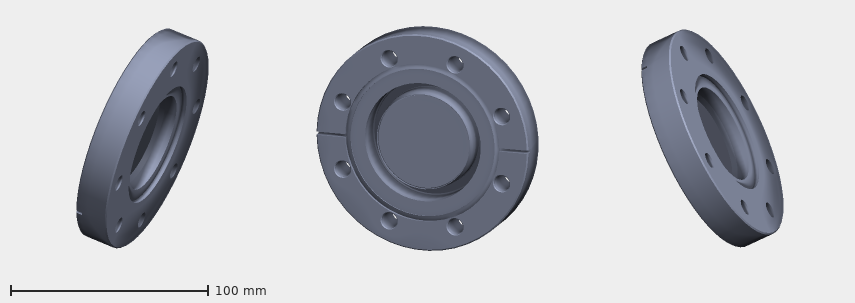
import cadquery as cq
import math


FLANGE_RADIUS = 56.8
FLANGE_THICKNESS = 17.3
RIM_CHAMFER = 0.7
BORE_RADIUS = 31.8

RECESS_RADIUS = 41.2
TIP_RADIUS = 38.6
TIP_DEPTH = 0.7
FLANK_ANGLE = 20.0
SEAT_DEPTH = 1.2
flank_foot_depth = TIP_DEPTH + (RECESS_RADIUS - TIP_RADIUS) * math.tan(math.radians(FLANK_ANGLE))

BOLT_COUNT = 8
BOLT_CIRCLE_RADIUS = 46.1
BOLT_HOLE_DIAMETER = 8.3
BOLT_HOLE_CHAMFER = 0.5

SLOT_WIDTH = 1.7
SLOT_DEPTH = 3.7
SLOT_CUTTER_RADIUS = 32.9
SLOT_CUTTER_OFFSET = 53.8

CUP_WALL = 0.8
CUP_FLOOR_DEPTH = 14.0
CUP_FILLET = 0.8
cup_inner_radius = BORE_RADIUS - CUP_WALL
cup_back = CUP_FLOOR_DEPTH + CUP_WALL

SLEEVE_SKIRT_RADIUS = 25.9
SLEEVE_TIP_RADIUS = 24.9
SLEEVE_TIP_DEPTH = 1.9
SLEEVE_CONE_DEPTH = 8.3
SLEEVE_WALL = 0.3
SLEEVE_BASE_FILLET = 0.3
sleeve_angle = math.atan2(SLEEVE_SKIRT_RADIUS - SLEEVE_TIP_RADIUS, SLEEVE_CONE_DEPTH - SLEEVE_TIP_DEPTH)
skirt_inner_radius = SLEEVE_SKIRT_RADIUS - SLEEVE_WALL
inner_cone_depth = SLEEVE_CONE_DEPTH + SLEEVE_WALL * math.tan(sleeve_angle / 2)

GLASS_RECESS = 0.9
GLASS_THICKNESS = 2.8
GLASS_CHAMFER = 0.5
glass_front = SLEEVE_TIP_DEPTH + GLASS_RECESS
glass_back = glass_front + GLASS_THICKNESS


def sleeve_inner_radius(depth):
    """Radius of the sleeve's inner cone at a given depth behind the flange front."""
    outer_radius = SLEEVE_TIP_RADIUS + (depth - SLEEVE_TIP_DEPTH) * math.tan(sleeve_angle)
    return outer_radius - SLEEVE_WALL / math.cos(sleeve_angle)


def turned(points):
    """Solid of revolution about the X axis from a closed (x, radius) outline."""
    return cq.Workplane("XY").polyline(points).close().revolve(360, (0, 0, 0), (1, 0, 0))


def make_flange_blank():
    return turned([
        (SEAT_DEPTH, BORE_RADIUS),
        (SEAT_DEPTH, TIP_RADIUS),
        (TIP_DEPTH, TIP_RADIUS),
        (flank_foot_depth, RECESS_RADIUS),
        (0, RECESS_RADIUS),
        (0, FLANGE_RADIUS - RIM_CHAMFER),
        (RIM_CHAMFER, FLANGE_RADIUS),
        (FLANGE_THICKNESS - RIM_CHAMFER, FLANGE_RADIUS),
        (FLANGE_THICKNESS, FLANGE_RADIUS - RIM_CHAMFER),
        (FLANGE_THICKNESS, BORE_RADIUS),
    ])


def make_bolt_hole(angle):
    """Through hole with a chamfered front mouth, at an angle around the bolt circle."""
    hole_radius = BOLT_HOLE_DIAMETER / 2
    mouth_radius = hole_radius + BOLT_HOLE_CHAMFER
    hole = turned([
        (0, 0),
        (0, mouth_radius),
        (BOLT_HOLE_CHAMFER, hole_radius),
        (FLANGE_THICKNESS, hole_radius),
        (FLANGE_THICKNESS, 0),
    ])
    return hole.translate((0, BOLT_CIRCLE_RADIUS, 0)).rotate((0, 0, 0), (1, 0, 0), angle)


def make_slot(side):
    """Slot outside the recess on the +Y (side = 1) or -Y (side = -1) half of the flange."""
    cutter = (
        cq.Workplane("XY")
        .center(SLOT_DEPTH - SLOT_CUTTER_RADIUS, side * SLOT_CUTTER_OFFSET)
        .circle(SLOT_CUTTER_RADIUS)
        .extrude(SLOT_WIDTH / 2, both=True)
    )
    recess = cq.Workplane("YZ").circle(RECESS_RADIUS).extrude(FLANGE_THICKNESS)
    return cutter.cut(recess)


def make_flange():
    flange = make_flange_blank()
    bolt_pitch = 360 / BOLT_COUNT
    for index in range(BOLT_COUNT):
        flange = flange.cut(make_bolt_hole((index + 0.5) * bolt_pitch))
    for side in (1, -1):
        flange = flange.cut(make_slot(side))
    return flange


def make_cup():
    """L-section ring: a wall lining the bore and a floor open behind the sleeve."""
    outline = (
        cq.Workplane("XY")
        .moveTo(SEAT_DEPTH, BORE_RADIUS)
        .lineTo(cup_back, BORE_RADIUS)
        .lineTo(cup_back, skirt_inner_radius)
        .lineTo(CUP_FLOOR_DEPTH, skirt_inner_radius)
        .lineTo(CUP_FLOOR_DEPTH, cup_inner_radius - CUP_FILLET)
        .radiusArc((CUP_FLOOR_DEPTH - CUP_FILLET, cup_inner_radius), CUP_FILLET)
        .lineTo(SEAT_DEPTH, cup_inner_radius)
        .close()
    )
    return outline.revolve(360, (0, 0, 0), (1, 0, 0))


def make_sleeve():
    """Tube of even wall, straight then conical, whose front end is square to the wall."""
    fillet_start = CUP_FLOOR_DEPTH - SLEEVE_BASE_FILLET
    foot_radius = SLEEVE_SKIRT_RADIUS + SLEEVE_BASE_FILLET
    tip_inner_depth = SLEEVE_TIP_DEPTH + SLEEVE_WALL * math.sin(sleeve_angle)
    outline = (
        cq.Workplane("XY")
        .moveTo(SLEEVE_TIP_DEPTH, SLEEVE_TIP_RADIUS)
        .lineTo(SLEEVE_CONE_DEPTH, SLEEVE_SKIRT_RADIUS)
        .lineTo(fillet_start, SLEEVE_SKIRT_RADIUS)
        .radiusArc((CUP_FLOOR_DEPTH, foot_radius), SLEEVE_BASE_FILLET)
        .lineTo(CUP_FLOOR_DEPTH, skirt_inner_radius)
        .lineTo(inner_cone_depth, skirt_inner_radius)
        .lineTo(tip_inner_depth, sleeve_inner_radius(tip_inner_depth))
        .close()
    )
    return outline.revolve(360, (0, 0, 0), (1, 0, 0))


def make_glass():
    """Window disc whose chamfered edge follows the sleeve's inner cone."""
    land_front = glass_front + GLASS_CHAMFER
    land_back = glass_back - GLASS_CHAMFER
    return turned([
        (glass_front, 0),
        (glass_front, sleeve_inner_radius(land_front) - GLASS_CHAMFER),
        (land_front, sleeve_inner_radius(land_front)),
        (land_back, sleeve_inner_radius(land_back)),
        (glass_back, sleeve_inner_radius(land_back) - GLASS_CHAMFER),
        (glass_back, 0),
    ])


flange = make_flange()
cup = make_cup()
sleeve = make_sleeve()
glass = make_glass()

result = cq.Compound.makeCompound([flange.val(), cup.val(), sleeve.val(), glass.val()])